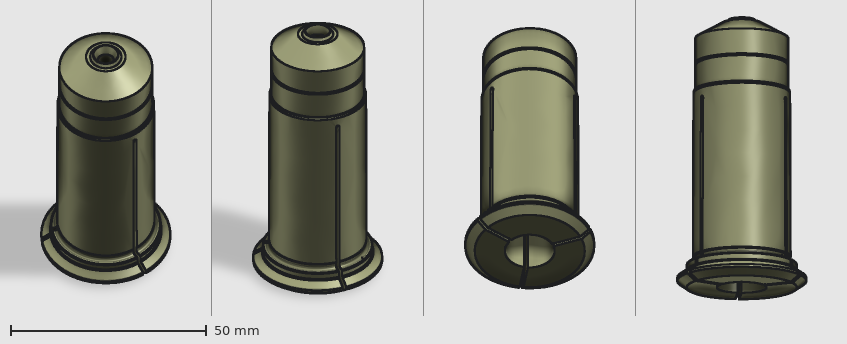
import cadquery as cq
import math

height = 69.9
face_radius = 14.05
rim_radius = 16.5
rim_bottom = 1.55
rim_top = 2.65
rim_chamfer = 0.2
collar_bottom = 4.0
collar_foot = 0.35
foot_spread = 0.2
collar_top = 6.1
collar_chamfer = 0.2
neck_radius = 12.4
neck_fillet = 0.8
body_bottom = 7.9
body_bottom_radius = 12.5
body_undercut = 0.3
body_top = 50.75
body_top_radius = 12.4
shoulder_top = 51.4
shoulder_radius = 12.15
head_radius = 11.9
groove_bottom = 58.1
groove_width = 0.5
groove_depth = 0.15
dome_bottom = 65.1
dome_top = 69.0
dome_top_radius = 5.0
lip_base_radius = 8.0 / 2
lip_top_radius = 3.3

bore_radius = 12.7 / 2
bore_top = body_top
center_hole_radius = 4.1 / 2
countersink_radius = 3.15
countersink_depth = 2.25

slot_count = 3
slot_width = 1.0
slot_top = 48.5
slot_slope = 55


def make_outside():
    """Solid of revolution bounded by the outer surface."""
    groove_radius = head_radius - groove_depth
    groove_top = groove_bottom + groove_width
    fillet_rise = neck_fillet * (1 - math.sqrt(0.5))
    above_neck_foot = [
        (neck_radius, body_bottom - body_undercut),
        (body_bottom_radius, body_bottom),
        (body_top_radius, body_top),
        (shoulder_radius, shoulder_top),
        (head_radius, shoulder_top),
        (head_radius, groove_bottom),
        (groove_radius, groove_bottom),
        (groove_radius, groove_top),
        (head_radius, groove_top),
        (head_radius, dome_bottom),
        (dome_top_radius, dome_top),
        (lip_base_radius, dome_top),
        (lip_top_radius, height),
        (0, height),
    ]
    below_neck_foot = [
        (0, 0),
        (face_radius, 0),
        (rim_radius - rim_chamfer, rim_bottom),
        (rim_radius, rim_bottom + rim_chamfer),
        (rim_radius, rim_top - rim_chamfer),
        (rim_radius - rim_chamfer, rim_top),
        (face_radius + foot_spread, collar_bottom),
        (face_radius, collar_bottom + collar_foot),
        (face_radius, collar_top - collar_chamfer),
        (face_radius - collar_chamfer, collar_top),
        (neck_radius + neck_fillet, collar_top),
    ]
    outline = (
        cq.Workplane("XZ")
        .polyline(below_neck_foot)
        .threePointArc(
            (neck_radius + fillet_rise, collar_top + fillet_rise),
            (neck_radius, collar_top + neck_fillet),
        )
        .polyline(above_neck_foot, includeCurrent=True)
        .close()
    )
    return outline.revolve(360, (0, 0), (0, 1))


def make_inside():
    """Bore open at the bottom, with a countersunk hole through the head."""
    profile = [
        (0, 0),
        (bore_radius, 0),
        (bore_radius, bore_top),
        (center_hole_radius, bore_top),
        (center_hole_radius, height - countersink_depth),
        (countersink_radius, height),
        (0, height),
    ]
    return cq.Workplane("XZ").polyline(profile).close().revolve(360, (0, 0), (0, 1))


def make_slot():
    """Radial cutter on the +X side, open at the bottom, with a round end sloping down to the axis."""
    half_width = slot_width / 2
    sheet = (
        cq.Workplane("XZ")
        .moveTo(0, 0)
        .lineTo(rim_radius + slot_width, 0)
        .lineTo(rim_radius + slot_width, slot_top)
        .lineTo(body_top_radius, slot_top)
        .lineTo(0, slot_top - body_top_radius * math.tan(math.radians(slot_slope)))
        .close()
        .extrude(half_width, both=True)
    )
    reach = 2 * height
    rounded = (
        cq.Workplane("YZ")
        .moveTo(-half_width, -reach)
        .lineTo(half_width, -reach)
        .lineTo(half_width, -half_width)
        .threePointArc((0, 0), (-half_width, -half_width))
        .close()
        .extrude(reach, both=True)
        .rotate((0, 0, 0), (0, 1, 0), -slot_slope)
        .translate((body_top_radius, 0, slot_top))
    )
    return sheet.intersect(rounded)


result = make_outside().cut(make_inside())
for index in range(slot_count):
    angle = index * 360 / slot_count
    result = result.cut(make_slot().rotate((0, 0, 0), (0, 0, 1), angle))